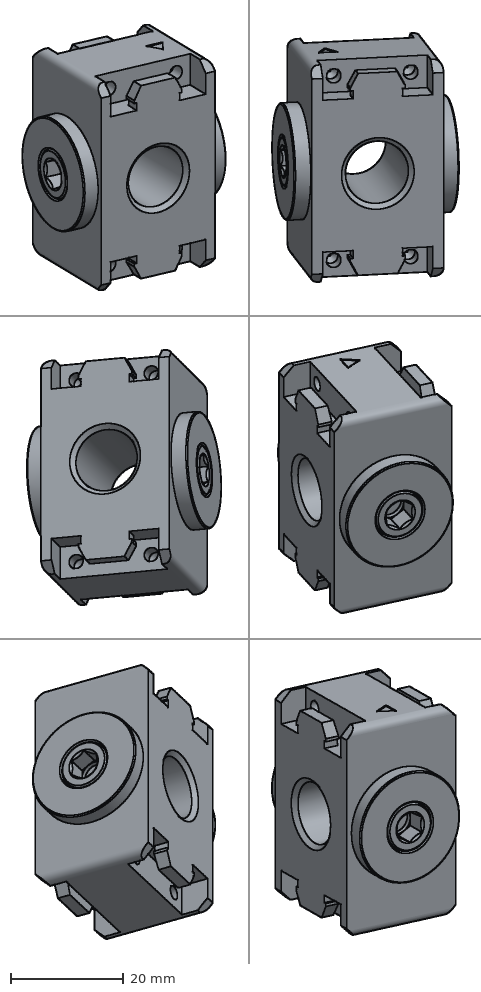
import cadquery as cq
import math

body_width = 23.0
body_depth = 24.0
body_height = 40.0
edge_radius = 1.5
corner_chamfer = 2.0

plate_thickness = 2.0
recess_length = body_depth - 2 * plate_thickness
recess_width = 5.2
recess_height = 6.0

lug_height = 4.6
lug_neck_width = 9.0
lug_head_width = 10.0
lug_tip_width = 7.2
lug_neck_height = 1.45
lug_shoulder_height = 2.0
lug_thickness = 2.8
lug_draft = 4.0

pilot_diameter = 2.6
pilot_tip_diameter = 0.5
pilot_depth = 3.0
pilot_tip_angle = 90.0
pilot_y = 7.0
pilot_z = 17.0

bore_diameter = 11.45
bore_mouth_diameter = 13.2
bore_mouth_depth = (bore_mouth_diameter - bore_diameter) / 2

overall_depth = 30.0
cap_diameter = 21.0
cap_height = (overall_depth - body_depth) / 2
cap_chamfer = 0.25
screw_face_diameter = 8.55
groove_diameter = 9.75
groove_depth = (groove_diameter - screw_face_diameter) / 4
socket_flats = 5.0
socket_mouth_diameter = 5.9
socket_depth = 4.0
socket_drill_depth = 5.0

arrow_circle_diameter = 4.0
arrow_y = 7.0
arrow_depth = 0.2

half_width = body_width / 2
half_height = body_height / 2
SIDES = (-1, 1)


def make_body():
    """Block with rounded long edges, bevelled corners and recessed X/Z edges."""
    block = cq.Workplane("XY").box(body_width, body_depth, body_height)
    rounded = block.edges("|X").fillet(edge_radius)
    bevelled = block.edges("|Y").chamfer(corner_chamfer)
    body = rounded.intersect(bevelled)
    for x_side in SIDES:
        for z_side in SIDES:
            recess = cq.Workplane("XY").box(2 * recess_width, recess_length, 2 * recess_height)
            body = body.cut(recess.translate((x_side * half_width, 0, z_side * half_height)))
    return body


def make_lug():
    """Dovetail lug of the -X, +Z recess, with its inner face leaning outwards."""
    floor_z = half_height - recess_height
    half_profile = [
        (lug_neck_width / 2, 0),
        (lug_neck_width / 2, lug_neck_height),
        (lug_head_width / 2, lug_neck_height),
        (lug_head_width / 2, lug_shoulder_height),
        (lug_tip_width / 2, lug_height),
    ]
    mirrored_profile = [(-y, z) for y, z in reversed(half_profile)]
    lug = (
        cq.Workplane("YZ", origin=(-half_width, 0, floor_z))
        .polyline(half_profile + mirrored_profile)
        .close()
        .extrude(lug_thickness)
    )
    tip_thickness = lug_thickness - lug_height * math.tan(math.radians(lug_draft))
    drafted_section = [(0, 0), (lug_thickness, 0), (tip_thickness, lug_height), (0, lug_height)]
    drafted = (
        cq.Workplane("XZ", origin=(-half_width, 0, floor_z))
        .polyline(drafted_section)
        .close()
        .extrude(lug_head_width / 2, both=True)
    )
    return lug.intersect(drafted)


def make_pilot():
    """Cutter for the pilot hole in the -X, +Y, +Z recess wall."""
    radius = pilot_diameter / 2
    tip_radius = pilot_tip_diameter / 2
    tip_length = (radius - tip_radius) / math.tan(math.radians(pilot_tip_angle / 2))
    return (
        cq.Workplane("XY", origin=(recess_width - half_width, pilot_y, pilot_z))
        .polyline([(0, 0), (0, radius), (pilot_depth, radius), (pilot_depth + tip_length, tip_radius)])
        .lineTo(pilot_depth + tip_length, 0)
        .close()
        .revolve(360, (0, 0, 0), (1, 0, 0))
    )


def make_bore():
    """Cutter for the through bore along X, with a conical mouth at each end."""
    radius = bore_diameter / 2
    mouth_radius = bore_mouth_diameter / 2
    straight_end = half_width - bore_mouth_depth
    return (
        cq.Workplane("XY")
        .moveTo(-half_width, 0)
        .lineTo(-half_width, mouth_radius)
        .lineTo(-straight_end, radius)
        .lineTo(straight_end, radius)
        .lineTo(half_width, mouth_radius)
        .lineTo(half_width, 0)
        .close()
        .revolve(360, (0, 0, 0), (1, 0, 0))
    )


def make_cap():
    """Round cap on the -Y side, with the V-groove around the screw face."""
    face_y = -overall_depth / 2
    cap = (
        cq.Workplane("XZ", origin=(0, -body_depth / 2, 0))
        .circle(cap_diameter / 2)
        .extrude(cap_height)
        .faces("<Y")
        .chamfer(cap_chamfer)
    )
    groove = (
        cq.Workplane("XY")
        .moveTo(screw_face_diameter / 2, face_y)
        .lineTo(groove_diameter / 2, face_y)
        .lineTo((screw_face_diameter + groove_diameter) / 4, face_y + groove_depth)
        .close()
        .revolve(360, (0, 0, 0), (0, 1, 0))
    )
    return cap.cut(groove)


def make_socket():
    """Cutter for the hexagon socket of the -Y screw, with its lead-in and drilled bottom."""
    face_y = -overall_depth / 2
    hexagon_circle = socket_flats / math.cos(math.radians(30))
    hexagon = (
        cq.Workplane("XZ", origin=(0, face_y, 0))
        .transformed(rotate=(0, 0, 90))
        .polygon(6, hexagon_circle)
        .extrude(-socket_depth)
    )
    mouth_radius = socket_mouth_diameter / 2
    lead_in = cq.Workplane("XY").add(
        cq.Solid.makeCone(mouth_radius, 0, mouth_radius, cq.Vector(0, face_y, 0), cq.Vector(0, 1, 0))
    )
    drill = (
        cq.Workplane("XZ", origin=(0, face_y, 0))
        .circle(socket_flats / 2)
        .extrude(-socket_drill_depth)
    )
    return hexagon.union(drill).union(lead_in)


def make_arrow():
    """Cutter for the engraved triangle pointing towards +X."""
    return (
        cq.Workplane("XY", origin=(0, arrow_y, half_height))
        .polygon(3, arrow_circle_diameter)
        .extrude(-arrow_depth)
    )


def both_sides(shape, plane):
    """The shape together with its mirror image."""
    return shape.union(shape.mirror(plane))


lugs = both_sides(both_sides(make_lug(), "YZ"), "XY")
pilots = both_sides(both_sides(both_sides(make_pilot(), "YZ"), "XZ"), "XY")
caps = both_sides(make_cap(), "XZ")
sockets = both_sides(make_socket(), "XZ")

result = make_body().union(lugs).union(caps)
result = result.cut(pilots).cut(make_bore()).cut(sockets).cut(make_arrow())